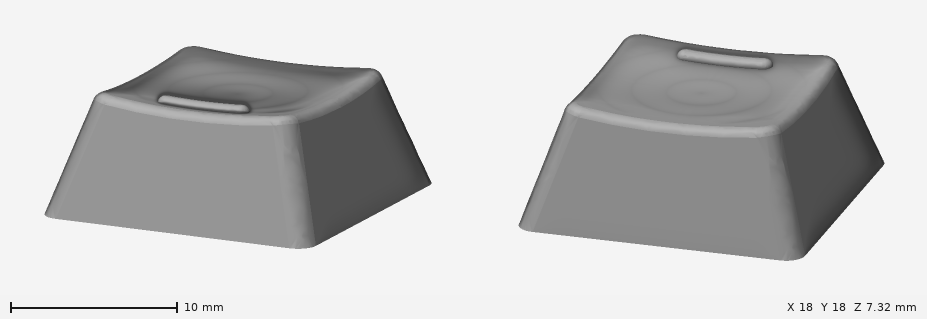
import cadquery as cq
import math

base_width = 18
wall_draft = 17.8
corner_radius = 1.26
blank_height = 9

dish_radius = 45
dish_floor = 6.52
rim_fillet = 0.65

bar_length = 6.03
bar_width = 1.05
bar_y = -4.7
bar_height = 0.41
bar_fillet = 0.43
bar_root = 5.4


def tapered_body():
    top_width = base_width - 2 * blank_height * math.tan(math.radians(wall_draft))
    return (
        cq.Workplane("XY")
        .rect(base_width, base_width)
        .workplane(offset=blank_height)
        .rect(top_width, top_width)
        .loft()
        .edges("not (#Z or |X or |Y)")
        .fillet(corner_radius)
    )


def dish_sphere(raised_by=0):
    center_z = dish_floor + dish_radius
    return cq.Workplane("XY").sphere(dish_radius - raised_by).translate((0, 0, center_z))


def homing_bar():
    return (
        cq.Workplane("XY", origin=(0, bar_y, bar_root))
        .slot2D(bar_length, bar_width)
        .extrude(blank_height - bar_root)
        .cut(dish_sphere(bar_height))
        .faces(">Z")
        .edges()
        .fillet(bar_fillet)
    )


dished_body = tapered_body().cut(dish_sphere())
rounded_body = dished_body.faces(">Z").edges().fillet(rim_fillet)
result = rounded_body.union(homing_bar())